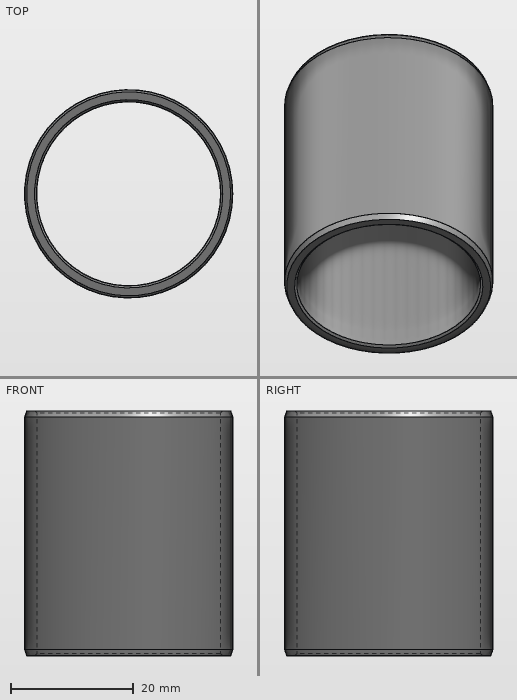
import cadquery as cq

length = 40.0
outer_diameter = 34.0
bore_diameter = 30.0

outer_chamfer_height = 1.0
outer_chamfer_depth = 0.35

bore_chamfer_height = 0.35
bore_chamfer_depth = 0.35

outer_radius = outer_diameter / 2
bore_radius = bore_diameter / 2
half_length = length / 2

wall_section = [
    (bore_radius, -half_length + bore_chamfer_height),
    (bore_radius + bore_chamfer_depth, -half_length),
    (outer_radius - outer_chamfer_depth, -half_length),
    (outer_radius, -half_length + outer_chamfer_height),
    (outer_radius, half_length - outer_chamfer_height),
    (outer_radius - outer_chamfer_depth, half_length),
    (bore_radius + bore_chamfer_depth, half_length),
    (bore_radius, half_length - bore_chamfer_height),
]

result = (
    cq.Workplane("XZ")
    .polyline(wall_section)
    .close()
    .revolve(360, (0, 0, 0), (0, 1, 0))
)